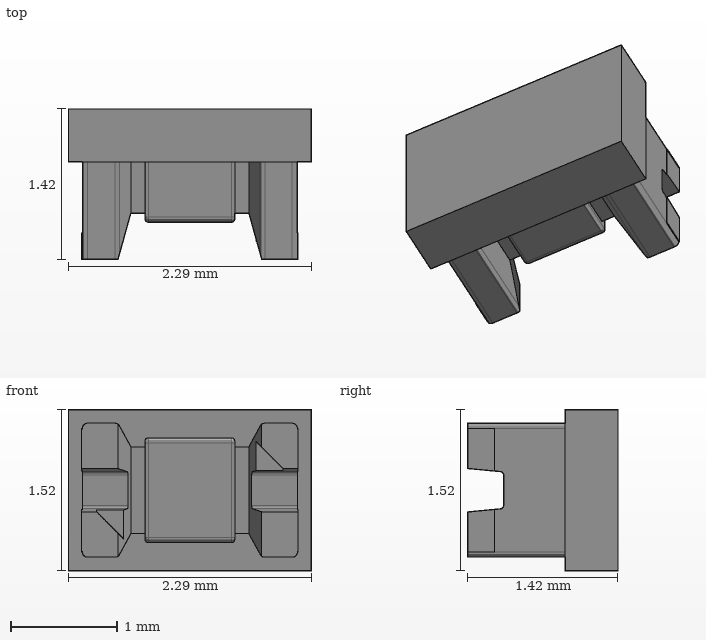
import cadquery as cq

base_length = 2.29
base_height = 1.52
base_thickness = 0.5
total_depth = 1.42
leg_depth = total_depth - base_thickness

bar_depth = 0.485
bar_half_height = 0.41

winding_length = 0.847
winding_height = 0.99
winding_depth = 0.57
winding_long_radius = 0.048
winding_end_radius = 0.032

leg_half_height = 0.632
leg_root_inner = 0.556
leg_tip_inner = 0.678
leg_outer = 1.015
leg_corner_radius = 0.05

pad_length = 0.252
pad_thickness = 0.007
pad_height = 2 * (leg_half_height - leg_corner_radius)

notch_depth = 0.34
notch_mouth_half_height = 0.204
notch_floor_half_height = 0.172
notch_floor_radius = 0.03

pocket_depth = 0.175
pocket_lip_inner = 0.625
pocket_corner = 0.88


def block(length, depth, height):
    """Box standing on the front face of the base."""
    return cq.Workplane("XY").box(length, depth, height).translate((0, -depth / 2, 0))


def make_winding():
    body = block(winding_length, winding_depth, winding_height)
    body = body.faces("<Y").edges("|X").fillet(winding_long_radius)
    return body.faces("<X or >X").edges("not >Y").fillet(winding_end_radius)


def leg_section():
    """Prism with a flared inner side and rounded corners, on the +X side."""
    prism = (
        cq.Workplane("XZ")
        .polyline([
            (leg_outer, -leg_half_height),
            (leg_outer, leg_half_height),
            (leg_tip_inner, leg_half_height),
            (leg_root_inner, bar_half_height),
            (leg_root_inner, -bar_half_height),
            (leg_tip_inner, -leg_half_height),
        ])
        .close()
        .extrude(leg_depth)
    )
    return prism.faces("<Z or >Z").edges("|Y").fillet(leg_corner_radius)


def make_notch():
    profile = [
        (-leg_depth, -notch_mouth_half_height),
        (-leg_depth, notch_mouth_half_height),
        (notch_depth - leg_depth, notch_floor_half_height),
        (notch_depth - leg_depth, -notch_floor_half_height),
    ]
    notch = cq.Workplane("YZ").polyline(profile).close().extrude(base_length / 2)
    return notch.faces(">Y").edges("|X").fillet(notch_floor_radius)


def corner_prism(inner, start_depth, length):
    """Prism beside the notch with a 45 degree wall, starting at a depth below the leg tip."""
    diagonal_rise = pocket_corner - inner
    return (
        cq.Workplane("XZ", origin=(0, start_depth - leg_depth, 0))
        .polyline([
            (inner, 0),
            (pocket_corner, 0),
            (pocket_corner, notch_mouth_half_height),
            (inner, notch_mouth_half_height + diagonal_rise),
        ])
        .close()
        .extrude(length)
    )


def make_leg():
    leg = leg_section()
    pad = (
        cq.Workplane("XY")
        .box(pad_thickness, pad_length, pad_height, centered=(False, False, True))
        .translate((leg_outer, -leg_depth, 0))
    )
    leg = leg.union(pad)
    inner_slope = (
        cq.Workplane("XY")
        .polyline([
            (leg_root_inner, -bar_depth),
            (leg_tip_inner, -leg_depth),
            (leg_root_inner, -leg_depth),
        ])
        .close()
        .extrude(leg_half_height, both=True)
    )
    pocket = corner_prism(leg_root_inner, pocket_depth, pocket_depth)
    floor_lip = corner_prism(pocket_lip_inner, notch_depth, notch_depth - pocket_depth)
    return leg.cut(inner_slope).union(floor_lip).cut(pocket).cut(make_notch())


base = (
    cq.Workplane("XY")
    .box(base_length, base_thickness, base_height)
    .translate((0, base_thickness / 2, 0))
)
bar = block(2 * leg_root_inner, bar_depth, 2 * bar_half_height)
result = base.union(bar).union(make_winding())

leg = make_leg()
for angle in (0, 180):
    result = result.union(leg.rotate((0, 0, 0), (0, 1, 0), angle))